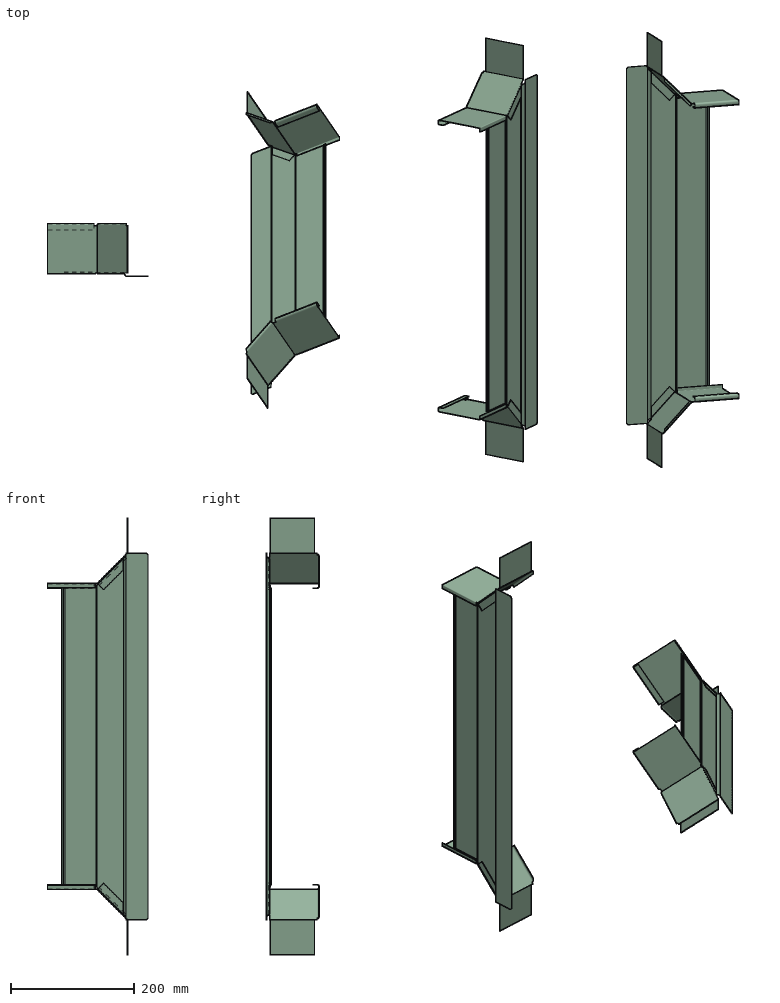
import cadquery as cq
import math

half_height = 354.0
depth = 86.5
width = 163.5
sheet = 1.05

shelf_z = 248.5
knee_x = 81.0
ramp_angle = 45.0
tab_x = 129.5
tab_front, tab_back = 6.5, 78.5
bracket_front = 4.0
front_bend = 1.5
back_bend = 3.5
shelf_flange = 7.0
ramp_flange = 15.0
back_flange = 8.5
return_lip = 10.5
shelf_front_end = 78.0
shelf_back_end = 76.0
front_flange_end = 122.5
back_flange_end = 128.0

strip_x = 127.5
strip_half = 297.5
strip_chamfer = 3.0
step_x = 123.0
web_front = bracket_front + sheet
crease_x = 78.5
wing_half = 241.0
lip_x = 23.5
lip_end_x = 26.0
wing_x = 29.0
bend_clearance = 2.0

ramp_cos = math.cos(math.radians(ramp_angle))
ramp_sin = math.sin(math.radians(ramp_angle))
ramp_slope = math.tan(math.radians(ramp_angle))
ramp_length = (tab_x - knee_x) / ramp_cos
ramp_top_z = shelf_z + (tab_x - knee_x) * ramp_slope
plate_front = bracket_front + front_bend
plate_back = depth - back_bend
shelf_plane = cq.Plane(origin=(0, 0, shelf_z), xDir=(0, 1, 0), normal=(1, 0, 0))
ramp_plane = cq.Plane(origin=(knee_x, 0, shelf_z), xDir=(0, 1, 0), normal=(ramp_cos, 0, ramp_sin))


def front_flange_run(plane, drop, length):
    """Front bend and flange; local x is Y, local y points out of the sheet."""
    inner_y = bracket_front + sheet
    return (
        cq.Workplane(plane)
        .moveTo(plate_front, 0)
        .radiusArc((bracket_front, -front_bend), -front_bend)
        .lineTo(bracket_front, -drop)
        .lineTo(inner_y, -drop)
        .lineTo(inner_y, -front_bend)
        .radiusArc((plate_front, -sheet), front_bend - sheet)
        .close()
        .extrude(length)
    )


def back_flange_run(plane, length):
    """Back bend and flange."""
    inner_y = depth - sheet
    return (
        cq.Workplane(plane)
        .moveTo(plate_back, 0)
        .radiusArc((depth, -back_bend), back_bend)
        .lineTo(depth, back_bend - back_flange)
        .lineTo(inner_y, back_bend - back_flange)
        .lineTo(inner_y, -back_bend)
        .radiusArc((plate_back, -sheet), sheet - back_bend)
        .close()
        .extrude(length)
    )


def return_lip_run(plane, length):
    """Lip bent in from the lower edge of the back flange toward the front."""
    lip_tip = depth - return_lip
    return (
        cq.Workplane(plane)
        .moveTo(depth, back_bend - back_flange)
        .radiusArc((plate_back, -back_flange), back_bend)
        .lineTo(lip_tip, -back_flange)
        .lineTo(lip_tip, sheet - back_flange)
        .lineTo(plate_back, sheet - back_flange)
        .radiusArc((depth - sheet, back_bend - back_flange), sheet - back_bend)
        .close()
        .extrude(length)
    )


def trimmed_at(run, end_x):
    """Cut a ramp flange off along an upright edge at end_x."""
    beyond = cq.Workplane("XY").box(width, depth, half_height, centered=False)
    return run.cut(beyond.translate((end_x, 0, 0)))


def bent_plate():
    """Level shelf and sloping ramp, bent from one sheet."""
    inner_knee_x = knee_x + sheet * math.tan(math.radians(ramp_angle / 2))
    inner_z = shelf_z - sheet
    inner_tab_x = tab_x + sheet
    inner_top_z = inner_z + (inner_tab_x - inner_knee_x) * ramp_slope
    return (
        cq.Workplane("XZ", origin=(0, plate_front, 0))
        .polyline([
            (0, shelf_z),
            (knee_x, shelf_z),
            (tab_x, ramp_top_z),
            (inner_tab_x, ramp_top_z),
            (inner_tab_x, inner_top_z),
            (inner_knee_x, inner_z),
            (0, inner_z),
        ])
        .close()
        .extrude(plate_front - plate_back)
    )


def upright_tab():
    tab_size = (sheet, tab_back - tab_front, half_height - ramp_top_z)
    return cq.Workplane("XY").box(*tab_size, centered=False).translate((tab_x, tab_front, ramp_top_z))


def end_bracket(side):
    """Bracket at the upper end (side = 1) or its mirror image at the lower end (side = -1)."""
    bracket = (
        bent_plate()
        .union(upright_tab())
        .union(front_flange_run(shelf_plane, shelf_flange, shelf_front_end))
        .union(back_flange_run(shelf_plane, shelf_back_end))
        .union(return_lip_run(shelf_plane, shelf_back_end))
        .union(trimmed_at(front_flange_run(ramp_plane, ramp_flange, ramp_length), front_flange_end))
        .union(trimmed_at(back_flange_run(ramp_plane, ramp_length), back_flange_end))
    )
    return bracket if side > 0 else bracket.mirror("XY")


def web_edge_z(x):
    """Upper web edge, parallel to the ramp and clear of its front bend."""
    return shelf_z + (x - knee_x) * ramp_slope - bend_clearance / ramp_cos


def front_panel():
    """Strip, web, side wing and lip, each set back from the one before."""
    wing_front = web_front + sheet
    lip_front = wing_front + sheet
    front_line = [
        (lip_x, lip_front),
        (lip_end_x, lip_front),
        (wing_x, wing_front),
        (crease_x, wing_front),
        (knee_x, web_front),
        (step_x, web_front),
        (strip_x, 0),
        (width, 0),
    ]
    back_line = [(x, y + sheet) for x, y in reversed(front_line)]
    folded = (
        cq.Workplane("XY", origin=(0, 0, -strip_half))
        .polyline(front_line + back_line)
        .close()
        .extrude(2 * strip_half)
    )
    upper_edge = [
        (lip_x, wing_half),
        (crease_x, wing_half),
        (crease_x, web_edge_z(crease_x)),
        (strip_x, web_edge_z(strip_x)),
        (strip_x, strip_half),
        (width - strip_chamfer, strip_half),
        (width, strip_half - strip_chamfer),
    ]
    lower_edge = [(x, -z) for x, z in reversed(upper_edge)]
    outline = cq.Workplane("XZ").polyline(upper_edge + lower_edge).close().extrude(-depth)
    return folded.intersect(outline)


panel = front_panel()
brackets = [end_bracket(side) for side in (1, -1)]

result = cq.Compound.makeCompound([panel.solids().val(), *[bracket.solids().val() for bracket in brackets]])